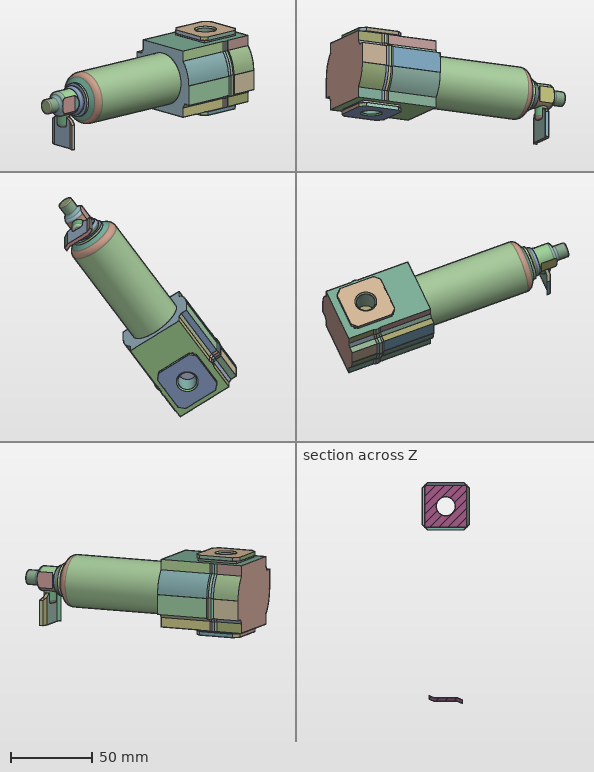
import cadquery as cq
import math


head_length = 54.5
head_half_width = 18.2
head_height = 42.3
head_half_height = head_height / 2
cheek_flat_x = 23.7
cheek_arc_radius = 23.4
cheek_ledge_x = 19.7
cheek_ledge_z = 12.4
cheek_slope_top_z = 15.1

rib_height = 0.53
rib_base_width = 4.6
rib_crest_width = 1.8

port_y = -19.0
flange_width = 29.2
flange_corner = 3.4
flange_thickness = 2.3
flange_outer_z = 25.0
flange_neck_width = 26.0
port_radius = 5.8
port_mouth_radius = 6.7
port_depth = 15.3

bowl_diameter = 32.5
bowl_radius = bowl_diameter / 2
shoulder_start_y = -120.4
shoulder_end_y = -124.5
shoulder_end_radius = 13.8
lip_start_y = -126.7
lip_radius = 10.5
bowl_end_y = -128.2

collar_radius = 9.2
collar_crest_y = -130.0
collar_round = 2.3
barrel_radius = 7.8
barrel_end_y = -142.1
stub_radius = 4.6
stub_start_y = -146.1
stub_fillet = 0.8
drain_end_y = -152.8
flat_half_width = 6.0
flat_start_y = -133.9
flat_ramp_length = 1.8

lever_y = -138.0
hub_radius = 4.0
hub_bottom_z = -15.0
hub_fillet = 1.8
lever_bottom_z = -27.8
lever_half_width = 10.4
lever_bend_x = 7.2
lever_thickness = 2.3
lever_wing_offset = 1.42
lever_shoulder_z = -12.0
lever_top_angle = 30.0


def round_drop(radius, run):
    """Height lost along a round of the given radius, a distance run from its crest."""
    return radius - math.sqrt(radius**2 - run**2)


def round_run(radius, drop):
    """Distance from the crest of a round at which it has lost the given height."""
    return math.sqrt(radius**2 - (radius - drop) ** 2)


def head_outline():
    """Section of the head; it repeats after half a turn about the Y axis."""
    corner_z = math.sqrt(cheek_arc_radius**2 - head_half_width**2)
    half_angle = math.atan2(corner_z, head_half_width) / 2
    arc_x = cheek_arc_radius * math.cos(half_angle)
    arc_z = cheek_arc_radius * math.sin(half_angle)
    outline = cq.Workplane("XZ").moveTo(-head_half_width, -head_half_height)
    for side in (1, -1):
        outline = (
            outline.lineTo(side * head_half_width, -side * head_half_height)
            .lineTo(side * head_half_width, -side * cheek_slope_top_z)
            .lineTo(side * cheek_ledge_x, -side * cheek_ledge_z)
            .lineTo(side * cheek_flat_x, -side * cheek_ledge_z)
            .lineTo(side * cheek_flat_x, 0)
            .lineTo(side * cheek_arc_radius, 0)
            .threePointArc((side * arc_x, side * arc_z), (side * head_half_width, side * corner_z))
            .lineTo(side * head_half_width, side * head_half_height)
        )
    return outline.wire()


def make_rib():
    """Rib with sloping flanks that follows the sides of the head, centred on the ports."""
    base = head_outline().val()
    crest = base.offset2D(rib_height, "intersection")[0]
    half_base = rib_base_width / 2
    half_crest = rib_crest_width / 2
    stations = [(base, half_base), (crest, half_crest), (crest, -half_crest), (base, -half_base)]
    wires = [wire.translate(cq.Vector(0, port_y + shift, 0)) for wire, shift in stations]
    rib = cq.Workplane(cq.Solid.makeLoft(wires, True))
    limits = cq.Workplane().box(head_length * 2, head_length * 2, head_height)
    return rib.intersect(limits)


def make_flange():
    """Port flange on the top of the head: square neck under a wider plate with cut corners."""
    plate_z = flange_outer_z - flange_thickness
    neck = (
        cq.Workplane(origin=(0, port_y, 0))
        .rect(flange_neck_width, flange_neck_width)
        .extrude(plate_z)
    )
    plate = (
        cq.Workplane(origin=(0, port_y, plate_z))
        .rect(flange_width, flange_width)
        .extrude(flange_thickness)
        .edges("|Z")
        .chamfer(flange_corner)
    )
    return neck.union(plate)


def make_port():
    """Blind port bore with a chamfered mouth, as a cutting tool."""
    mouth_chamfer = port_mouth_radius - port_radius
    return (
        cq.Workplane("XZ", origin=(0, port_y, 0))
        .moveTo(0, flange_outer_z)
        .lineTo(port_mouth_radius, flange_outer_z)
        .lineTo(port_radius, flange_outer_z - mouth_chamfer)
        .lineTo(port_radius, flange_outer_z - port_depth)
        .lineTo(0, flange_outer_z - port_depth)
        .close()
        .revolve(360, (0, 0), (0, 1))
    )


def make_head():
    flange = make_flange()
    port = make_port()
    head = head_outline().extrude(head_length).union(make_rib())
    head = head.union(flange).union(flange.mirror("XY"))
    return head.cut(port).cut(port.mirror("XY"))


def make_bowl():
    """Round bowl with a curved shoulder, a cone and a short lip."""
    shoulder_run = shoulder_start_y - shoulder_end_y
    shoulder_fall = bowl_radius - shoulder_end_radius
    return (
        cq.Workplane("XY")
        .moveTo(0, -head_length)
        .lineTo(bowl_radius, -head_length)
        .lineTo(bowl_radius, shoulder_start_y)
        .tangentArcPoint((-shoulder_fall, -shoulder_run))
        .lineTo(lip_radius, lip_start_y)
        .lineTo(lip_radius, bowl_end_y)
        .lineTo(0, bowl_end_y)
        .close()
        .revolve(360, (0, 0), (0, 1))
    )


def make_drain_core():
    """Turned core of the drain: rounded collar, barrel, S-shaped neck and outlet stub."""
    collar_start_radius = collar_radius - round_drop(collar_round, bowl_end_y - collar_crest_y)
    collar_end_y = collar_crest_y - round_run(collar_round, collar_radius - barrel_radius)
    neck_middle = ((barrel_radius + stub_radius) / 2, (barrel_end_y + stub_start_y) / 2)
    return (
        cq.Workplane("XY")
        .moveTo(0, bowl_end_y)
        .lineTo(collar_start_radius, bowl_end_y)
        .radiusArc((collar_radius, collar_crest_y), collar_round)
        .radiusArc((barrel_radius, collar_end_y), collar_round)
        .lineTo(barrel_radius, barrel_end_y)
        .tangentArcPoint(neck_middle, relative=False)
        .tangentArcPoint((stub_radius, stub_start_y), relative=False)
        .lineTo(stub_radius, drain_end_y)
        .lineTo(0, drain_end_y)
        .close()
        .revolve(360, (0, 0), (0, 1))
        .faces("<Y")
        .edges()
        .fillet(stub_fillet)
    )


def make_flat_cutter():
    """Cutter for the flat on the +X side of the barrel, with a sloping run-out at the collar."""
    return (
        cq.Workplane("XY")
        .moveTo(flat_half_width, flat_start_y)
        .lineTo(barrel_radius, flat_start_y + flat_ramp_length)
        .lineTo(collar_radius, flat_start_y + flat_ramp_length)
        .lineTo(collar_radius, stub_start_y)
        .lineTo(flat_half_width, stub_start_y)
        .close()
        .extrude(barrel_radius, both=True)
    )


def make_hub():
    """Round hub that hangs from the barrel and carries the lever plate."""
    return (
        cq.Workplane(origin=(0, lever_y, hub_bottom_z))
        .circle(hub_radius)
        .extrude(-hub_bottom_z)
        .faces("<Z")
        .edges()
        .fillet(hub_fillet)
    )


def make_lever_plate():
    """Plate with wings bent to opposite sides; its top edges rise toward the hub."""
    half = lever_thickness / 2
    top_z = lever_shoulder_z + lever_half_width * math.tan(math.radians(lever_top_angle))
    plate = (
        cq.Workplane(origin=(0, lever_y, lever_bottom_z))
        .moveTo(-lever_half_width, lever_wing_offset - half)
        .lineTo(-lever_bend_x, -half)
        .lineTo(lever_bend_x, -half)
        .lineTo(lever_half_width, -lever_wing_offset - half)
        .lineTo(lever_half_width, -lever_wing_offset + half)
        .lineTo(lever_bend_x, half)
        .lineTo(-lever_bend_x, half)
        .lineTo(-lever_half_width, lever_wing_offset + half)
        .close()
        .extrude(top_z - lever_bottom_z)
    )
    gable = (
        cq.Workplane("XZ", origin=(0, lever_y, 0))
        .moveTo(-lever_half_width, lever_bottom_z)
        .lineTo(lever_half_width, lever_bottom_z)
        .lineTo(lever_half_width, lever_shoulder_z)
        .lineTo(0, top_z)
        .lineTo(-lever_half_width, lever_shoulder_z)
        .close()
        .extrude(lever_thickness + lever_wing_offset, both=True)
    )
    return plate.intersect(gable)


def make_drain():
    flat_cutter = make_flat_cutter()
    core = make_drain_core().cut(flat_cutter).cut(flat_cutter.mirror("YZ"))
    return core.union(make_hub()).union(make_lever_plate())


head = make_head()
bowl = make_bowl()
drain = make_drain()

result = cq.Compound.makeCompound([head.solids().val(), bowl.solids().val(), drain.solids().val()])